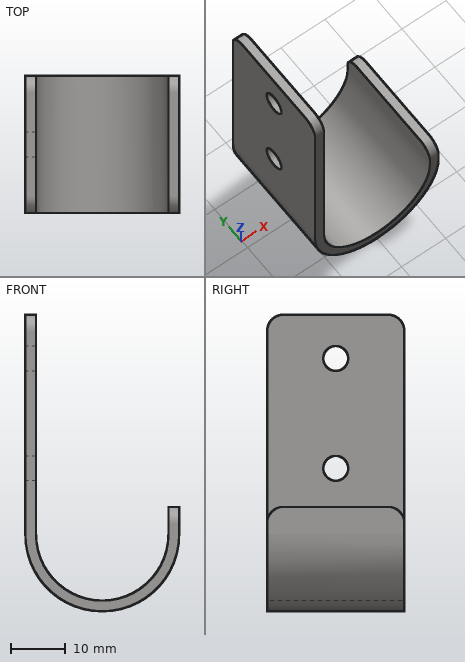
import cadquery as cq

total_height = 54.0
hook_width = 28.0
strip_width = 25.0
thickness = 2.0
lip_height = 5.0
corner_radius = 3.0
hole_diameter = 4.5
top_hole_offset = 8.0
hole_spacing = 20.0

outer_radius = hook_width / 2
inner_radius = outer_radius - thickness
plate_height = total_height - outer_radius


def make_strip():
    """J-shaped strip: tall back plate, half-round bend and short lip."""
    return (
        cq.Workplane("XZ")
        .moveTo(-outer_radius, plate_height)
        .lineTo(-outer_radius, 0)
        .threePointArc((0, -outer_radius), (outer_radius, 0))
        .lineTo(outer_radius, lip_height)
        .lineTo(inner_radius, lip_height)
        .lineTo(inner_radius, 0)
        .threePointArc((0, -inner_radius), (-inner_radius, 0))
        .lineTo(-inner_radius, plate_height)
        .close()
        .extrude(strip_width / 2, both=True)
    )


def round_end_corners(strip):
    """Round the two free corners at the end of each leg."""
    return strip.faces("+Z").edges("|X").fillet(corner_radius)


def make_screw_holes():
    """Cutters for the two screw holes on the centreline of the back plate."""
    upper_hole = plate_height - top_hole_offset
    lower_hole = upper_hole - hole_spacing
    return (
        cq.Workplane("YZ", origin=(-outer_radius, 0, 0))
        .pushPoints([(0, upper_hole), (0, lower_hole)])
        .circle(hole_diameter / 2)
        .extrude(thickness)
    )


result = round_end_corners(make_strip()).cut(make_screw_holes())